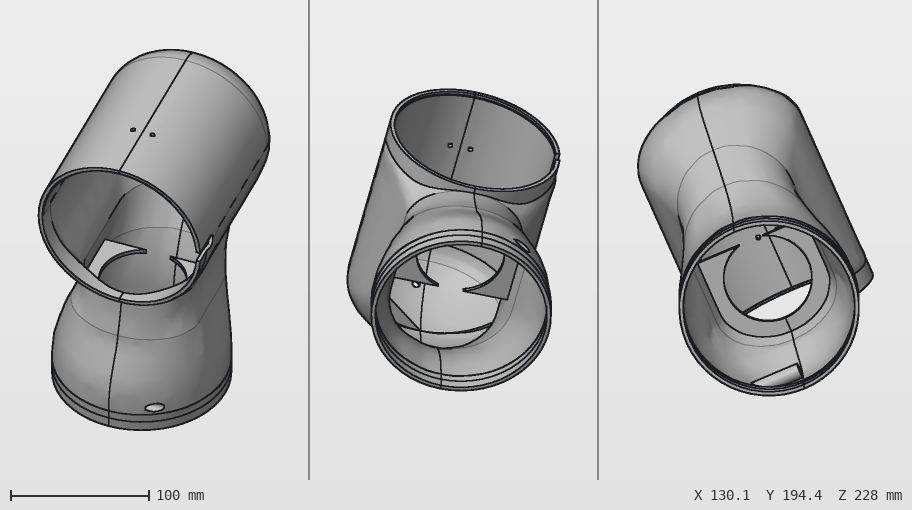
import cadquery as cq
import math

wall = 3.0
base_radius = 65.0
ring_height = 8.0
collar_top = 14.8
total_height = 228.0
head_radius = 63.0
mouth_y = -43.8
dome_apex_y = 129.3

head_z = total_height - head_radius
bore_radius = head_radius - wall
far = 2 * total_height

cap_radius = 75.0
blend_radius = 25.0
cap_center_y = dome_apex_y - cap_radius
blend_center_r = head_radius - blend_radius
blend_center_y = cap_center_y + math.sqrt((cap_radius - blend_radius) ** 2 - blend_center_r**2)

waist_bottom = 72.5
waist_top = 102.5
neck_stations = [
    (collar_top, base_radius, base_radius, -base_radius, 0.7, -0.7),
    (22.8, 64.5, 65.5, -64.8, 2.3, -0.5),
    (32, 63.0, 66.3, -63.4, 5.7, -1.5),
    (50.2, 57.0, 70.5, -56.3, 17.0, -8.0),
    (waist_bottom, 48.8, 80.5, -47.0, 32.5, -11.5),
    (86.6, 44.5, 89.8, -42.6, 44.7, -6.8),
    (waist_top, 43.3, 101.5, -39.7, 58.1, -6.8),
    (118.5, 49.0, 113.0, -39.2, 70.2, -20.5),
    (136.8, 57.7, 124.0, -41.0, 81.2, -29.6),
    (150.5, 62.0, 128.1, -41.5, 85.3, -31.0),
    (head_z, head_radius, dome_apex_y, -41.5, blend_center_y, -30.0),
]
neck_stretches = [(collar_top, waist_bottom), (waist_bottom, waist_top), (waist_top, head_z)]
end_points = 6
outline_spans = 24

crown_drop = 1.5
mouth_recess_depth = 2.0
crown_hole_diameter = 3.2
crown_hole_x = 7.5
crown_hole_y = 2.3

rear_hole_diameter = 6.0
rear_hole_x = -6.4
rear_hole_z = 206.3
slot_height = 8.0
slot_end_y = -19.8

shelf_top = 86.6
shelf_rear_y = 32.8
shelf_opening_diameter = 63.8
shelf_opening_y = crown_hole_y

boss_diameter = 11.0
boss_bore_diameter = 7.0
boss_bore_floor_x = 18.2
boss_y = -55.9
boss_z = 21.0


def box_between(x0, x1, y0, y1, z0, z1):
    return cq.Workplane("XY").box(x1 - x0, y1 - y0, z1 - z0, centered=False).translate((x0, y0, z0))


def cylinder_along_y(radius, y0, y1, x, z):
    return cq.Workplane("XZ", origin=(x, y0, z)).circle(radius).extrude(y0 - y1)


def neck_section(station, inset):
    """Right half of one neck cross-section as a closed wire, moved inward by `inset`."""
    height, half_width, back, front, back_shoulder, front_shoulder = station
    half_width -= inset
    back_depth = back - inset - back_shoulder
    front_depth = front_shoulder - front - inset
    quarter = [math.pi / 2 * i / end_points for i in range(end_points + 1)]

    front_end = [(half_width * math.sin(a), front_shoulder - front_depth * math.cos(a)) for a in quarter]
    back_end = [(half_width * math.cos(a), back_shoulder + back_depth * math.sin(a)) for a in quarter]
    outward = cq.Vector(1, 0, 0)
    rearward = cq.Vector(0, 1, 0)
    front_edge = cq.Edge.makeSpline([cq.Vector(x, y, height) for x, y in front_end], [outward, rearward])
    back_edge = cq.Edge.makeSpline([cq.Vector(x, y, height) for x, y in back_end], [rearward, -outward])
    side_edge = cq.Edge.makeLine(front_edge.endPoint(), back_edge.startPoint())
    exact = cq.Wire.assembleEdges([front_edge, side_edge, back_edge])

    fractions = [i / outline_spans for i in range(outline_spans + 1)]
    outline = cq.Edge.makeSpline(
        exact.positions(fractions), tangents=[outward, -outward], parameters=fractions, scale=False
    )
    return cq.Wire.assembleEdges([outline, cq.Edge.makeLine(outline.endPoint(), outline.startPoint())])


def half_neck(inset):
    """Right half of the solid neck: one loft per stretch, stacked on shared sections."""
    lofts = []
    for bottom, top in neck_stretches:
        sections = [neck_section(s, inset) for s in neck_stations if bottom <= s[0] <= top]
        lofts.append(cq.Workplane(cq.Solid.makeLoft(sections)))
    foot, waist, hood = lofts
    return foot.union(waist).union(hood)


def dome(inset):
    """Upper half of the rear dome, moved inward by `inset`."""
    tilt = math.atan2(blend_center_y - cap_center_y, blend_center_r)
    cap = cap_radius - inset
    blend = blend_radius - inset
    cap_mid = (math.pi / 2 + tilt) / 2
    profile = (
        cq.Workplane("XY")
        .moveTo(0, blend_center_y)
        .lineTo(head_radius - inset, blend_center_y)
        .threePointArc(
            (blend_center_r + blend * math.cos(tilt / 2), blend_center_y + blend * math.sin(tilt / 2)),
            (blend_center_r + blend * math.cos(tilt), blend_center_y + blend * math.sin(tilt)),
        )
        .threePointArc(
            (cap * math.cos(cap_mid), cap_center_y + cap * math.sin(cap_mid)),
            (0, cap_center_y + cap),
        )
        .close()
    )
    upper = box_between(-far, far, -far, far, 0, far)
    return profile.revolve(360, (0, 0), (0, 1)).intersect(upper).translate((0, 0, head_z))


def head_cavity():
    """Bore of the tube, flattened at the crown by a second bore set lower, and the mouth recess."""
    tube_bore = cylinder_along_y(bore_radius, mouth_y, blend_center_y, 0, head_z)
    crown_bore = cylinder_along_y(bore_radius, mouth_y, blend_center_y, 0, head_z - crown_drop)
    mouth_recess = cylinder_along_y(bore_radius, mouth_y, mouth_y + mouth_recess_depth, 0, head_z)
    return tube_bore.intersect(crown_bore).union(mouth_recess)


def disc(z0, z1, radius):
    return cq.Workplane("XY").workplane(offset=z0).circle(radius).extrude(z1 - z0)


def right_side():
    return box_between(0, far, -far, far, -far, far)


def half_shelf():
    """Shelf of the right half, reaching into the neck wall so that both join."""
    slab = box_between(0, far, -far, shelf_rear_y, shelf_top - wall, shelf_top)
    opening = (
        cq.Workplane("XY")
        .center(0, shelf_opening_y)
        .circle(shelf_opening_diameter / 2)
        .extrude(shelf_top)
    )
    return half_neck(wall / 2).intersect(slab).cut(opening)


def half_outside():
    tube = cylinder_along_y(head_radius, mouth_y, blend_center_y, 0, head_z)
    head = tube.union(dome(0)).intersect(right_side())
    foot = disc(ring_height, collar_top, base_radius).intersect(right_side())
    return head.union(half_neck(0)).union(foot)


def half_shell():
    """Right half of the hollow housing, with everything that both halves share."""
    cavity = head_cavity().union(dome(wall)).intersect(right_side())
    shell = half_outside().cut(cavity).cut(half_neck(wall))
    shell = shell.cut(disc(ring_height, collar_top, base_radius - wall)).union(half_shelf())
    crown_hole = (
        cq.Workplane("XY", origin=(crown_hole_x, crown_hole_y, head_z))
        .circle(crown_hole_diameter / 2)
        .extrude(2 * head_radius)
    )
    return shell.cut(crown_hole)


def left_half(shell):
    """Left housing with the small hole through the dome."""
    rear_hole = cylinder_along_y(rear_hole_diameter / 2, blend_center_y, far, rear_hole_x, rear_hole_z)
    return shell.mirror("YZ").cut(rear_hole)


def mouth_slot():
    radius = slot_height / 2
    center_y = slot_end_y - radius
    open_end = box_between(0, far, -far, center_y, head_z - radius, head_z + radius)
    round_end = cq.Workplane("YZ", origin=(0, center_y, head_z)).circle(radius).extrude(far)
    return open_end.union(round_end)


def right_half(shell):
    """Right housing with the mouth slot and the clamping boss, bored from its outer side."""
    boss_axis = cq.Workplane("YZ", origin=(0, boss_y, boss_z))
    boss = boss_axis.circle(boss_diameter / 2).extrude(base_radius).intersect(half_neck(wall / 2))
    boss_bore = boss_axis.workplane(offset=boss_bore_floor_x).circle(boss_bore_diameter / 2).extrude(far)
    return shell.cut(mouth_slot()).union(boss).cut(boss_bore)


def right_ring():
    """Right half of the ring below the housing."""
    ring = disc(0, ring_height, base_radius).cut(disc(0, ring_height, base_radius - wall))
    return ring.intersect(right_side())


shared_shell = half_shell()
left_housing = left_half(shared_shell)
right_housing = right_half(shared_shell)
base_rings = [right_ring(), right_ring().mirror("YZ")]

result = cq.Compound.makeCompound(
    [left_housing.val(), right_housing.val(), *[ring.val() for ring in base_rings]]
)